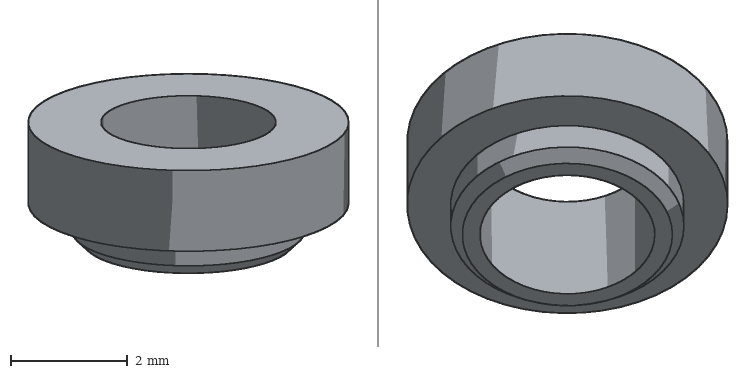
import cadquery as cq

flange_diameter = 5.5
spigot_diameter = 4.0
bore_diameter = 3.0
total_height = 2.15
flange_height = 1.45
spigot_height = total_height - flange_height
spigot_chamfer = 0.2

spigot = (
    cq.Workplane("XY")
    .circle(spigot_diameter / 2)
    .extrude(spigot_height)
    .faces("<Z")
    .edges()
    .chamfer(spigot_chamfer)
)

flange = (
    cq.Workplane("XY")
    .workplane(offset=spigot_height)
    .circle(flange_diameter / 2)
    .extrude(flange_height)
)

bore = cq.Workplane("XY").circle(bore_diameter / 2).extrude(total_height)

result = spigot.union(flange).cut(bore)